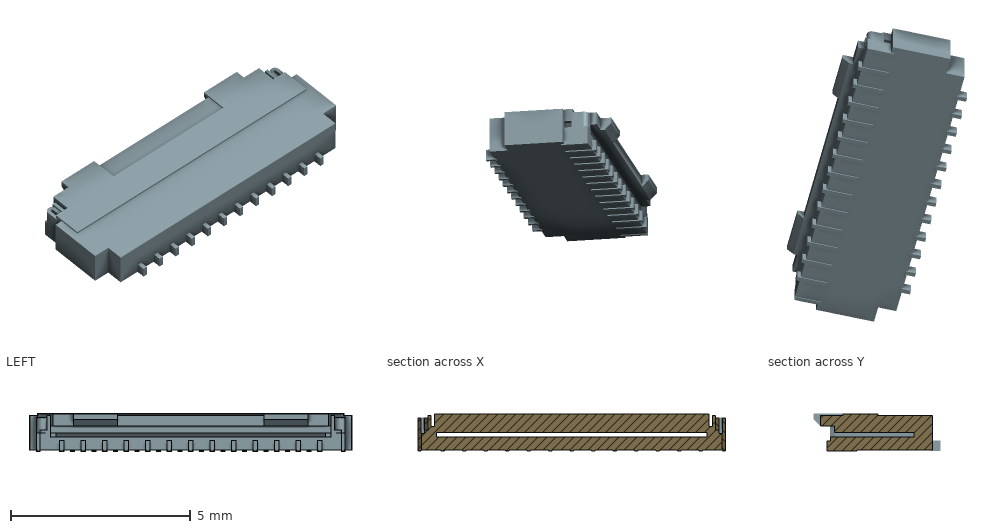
import cadquery as cq


HOUSING_BOTTOM = 0.03
HOUSING_TOP = 1.0
COVER_BOTTOM = 0.70
COVER_TOP = 1.05
SLOT_FLOOR = 0.40
CABLE_SLOT_TOP = 0.515
CONTACT_TOP = 0.30
NAIL_TOP = 0.94
NAIL_SHOULDER = 0.51
NAIL_LEG_BOTTOM = 0.60

LENGTH = 9.0
TOTAL_DEPTH = 3.55
HOUSING_FRONT = 0.465
EAR_FRONT = 1.14
EAR_BACK = 2.80
HOUSING_BACK = 3.32
BACK_HALF_LENGTH = 4.01

COVER_BACK = 1.80
COVER_HALF_LENGTH = 4.275
COVER_MIDDLE_FRONT = 0.90
COVER_MIDDLE_HALF_LENGTH = 3.84
COVER_WING_BACK = 0.30
COVER_WING_HALF_LENGTH = 3.275
COVER_CHAMFER = 0.19
RECESS_HALF_LENGTH = 2.05
RECESS_BACK = 0.815

OPENING_HALF_LENGTH = 3.92
OPENING_BACK = 0.57
CABLE_MOUTH_BACK = 0.60
CABLE_SLOT_HALF_LENGTH = 3.765
CABLE_SLOT_BACK = EAR_BACK

CONTACT_PITCH = 0.6
CONTACT_WIDTH = 0.12
FRONT_CONTACTS = 13
FRONT_CONTACT_TIP = 0.36
FRONT_CONTACT_END = 1.22
BACK_CONTACTS = 12
BACK_CONTACT_START = 3.265

NAIL_THICKNESS = 0.10
NAIL_FOLD_WIDTH = 0.29
NAIL_OUTER = 4.305
NAIL_PLATE_INNER = NAIL_OUTER - NAIL_THICKNESS
NAIL_INNER = NAIL_OUTER - NAIL_FOLD_WIDTH
NAIL_LEG_OUTER = NAIL_INNER + NAIL_THICKNESS
NAIL_FOLD_RADIUS = NAIL_FOLD_WIDTH / 2
NAIL_FOLD_CENTRE_X = HOUSING_FRONT + NAIL_FOLD_RADIUS
NAIL_UPPER_BACK = 0.93
NAIL_LEG_BACK = 1.0
NAIL_BACK = FRONT_CONTACT_END


def block(x_min, x_max, y_min, y_max, z_min, z_max):
    """Box between the given limits."""
    size = (x_max - x_min, y_max - y_min, z_max - z_min)
    return cq.Workplane("XY").box(*size, centered=False).translate((x_min, y_min, z_min))


def centred_block(x_min, x_max, half_length, z_min, z_max):
    """Box that is symmetric about Y = 0."""
    return block(x_min, x_max, -half_length, half_length, z_min, z_max)


def make_nail():
    """Nail at the +Y end: a plate with an inserted tail, folded at the front into a U."""
    plate = block(HOUSING_FRONT, NAIL_BACK, NAIL_PLATE_INNER, NAIL_OUTER, 0, NAIL_SHOULDER)
    inner_fold_x = HOUSING_FRONT + NAIL_THICKNESS
    fold_centre_y = NAIL_INNER + NAIL_FOLD_RADIUS
    fold = (
        cq.Workplane("XY", origin=(0, 0, NAIL_SHOULDER))
        .moveTo(NAIL_UPPER_BACK, NAIL_OUTER)
        .lineTo(NAIL_FOLD_CENTRE_X, NAIL_OUTER)
        .threePointArc((HOUSING_FRONT, fold_centre_y), (NAIL_FOLD_CENTRE_X, NAIL_INNER))
        .lineTo(NAIL_LEG_BACK, NAIL_INNER)
        .lineTo(NAIL_LEG_BACK, NAIL_LEG_OUTER)
        .lineTo(NAIL_FOLD_CENTRE_X, NAIL_LEG_OUTER)
        .threePointArc((inner_fold_x, fold_centre_y), (NAIL_FOLD_CENTRE_X, NAIL_PLATE_INNER))
        .lineTo(NAIL_UPPER_BACK, NAIL_PLATE_INNER)
        .close()
        .extrude(NAIL_TOP - NAIL_SHOULDER)
    )
    below_leg = block(
        NAIL_FOLD_CENTRE_X, NAIL_LEG_BACK, NAIL_INNER, NAIL_LEG_OUTER, NAIL_SHOULDER, NAIL_LEG_BOTTOM
    )
    return plate.union(fold.cut(below_leg))


def make_cover():
    """Stepped cover plate with chamfered front wings and a shallow recess between them."""
    cover = centred_block(COVER_MIDDLE_FRONT, COVER_BACK, COVER_HALF_LENGTH, COVER_BOTTOM, COVER_TOP)
    cover = cover.union(
        centred_block(COVER_WING_BACK, COVER_BACK, COVER_MIDDLE_HALF_LENGTH, COVER_BOTTOM, COVER_TOP)
    )
    wings = centred_block(0, COVER_BACK, COVER_WING_HALF_LENGTH, COVER_BOTTOM, COVER_TOP)
    cover = cover.union(wings.edges("<X and <Z").chamfer(COVER_CHAMFER))
    recess = centred_block(0, RECESS_BACK, RECESS_HALF_LENGTH, HOUSING_TOP, COVER_TOP)
    front_gap = centred_block(0, COVER_CHAMFER, RECESS_HALF_LENGTH, COVER_BOTTOM, COVER_TOP)
    return cover.cut(recess).cut(front_gap)


def contact_row(count, x_min, x_max):
    """Boxes of one row of contacts, centred on Y = 0."""
    first_y = -CONTACT_PITCH * (count - 1) / 2
    half_width = CONTACT_WIDTH / 2
    row = []
    for index in range(count):
        y = first_y + index * CONTACT_PITCH
        row.append(block(x_min, x_max, y - half_width, y + half_width, 0, CONTACT_TOP))
    return row


def nail_pocket():
    """Space around the folded nail at the +Y end, open towards the front and the outside."""
    leg_space = block(
        HOUSING_FRONT, NAIL_LEG_BACK, NAIL_INNER, NAIL_PLATE_INNER, NAIL_LEG_BOTTOM, HOUSING_TOP
    )
    fold_gap = block(
        NAIL_FOLD_CENTRE_X, EAR_FRONT, NAIL_LEG_OUTER, NAIL_PLATE_INNER, NAIL_SHOULDER, HOUSING_TOP
    )
    return leg_space.union(fold_gap)


def make_housing(nails):
    """Housing with ears, cable opening, contacts and cover, cleared for the nails."""
    front = centred_block(HOUSING_FRONT, EAR_BACK, NAIL_PLATE_INNER, HOUSING_BOTTOM, HOUSING_TOP)
    ears = centred_block(EAR_FRONT, EAR_BACK, LENGTH / 2, HOUSING_BOTTOM, HOUSING_TOP)
    back = centred_block(EAR_BACK, HOUSING_BACK, BACK_HALF_LENGTH, HOUSING_BOTTOM, HOUSING_TOP)
    housing = front.union(ears).union(back)

    pocket = nail_pocket()
    housing = housing.cut(pocket).cut(pocket.mirror("XZ"))
    housing = housing.cut(
        centred_block(HOUSING_FRONT, OPENING_BACK, OPENING_HALF_LENGTH, SLOT_FLOOR, COVER_BOTTOM)
    )
    housing = housing.cut(
        centred_block(HOUSING_FRONT, COVER_MIDDLE_FRONT, OPENING_HALF_LENGTH, COVER_BOTTOM, HOUSING_TOP)
    )
    housing = housing.cut(
        centred_block(OPENING_BACK, CABLE_MOUTH_BACK, OPENING_HALF_LENGTH, SLOT_FLOOR, CABLE_SLOT_TOP)
    )
    housing = housing.cut(
        centred_block(CABLE_MOUTH_BACK, CABLE_SLOT_BACK, CABLE_SLOT_HALF_LENGTH, SLOT_FLOOR, CABLE_SLOT_TOP)
    )

    housing = housing.union(make_cover())
    contacts = contact_row(FRONT_CONTACTS, FRONT_CONTACT_TIP, FRONT_CONTACT_END)
    contacts += contact_row(BACK_CONTACTS, BACK_CONTACT_START, TOTAL_DEPTH)
    for contact in contacts:
        housing = housing.union(contact)
    for nail in nails:
        housing = housing.cut(nail)
    return housing


nail = make_nail()
nails = [nail, nail.mirror("XZ")]
housing = make_housing(nails)

result = cq.Compound.makeCompound([housing.val(), *[item.val() for item in nails]])